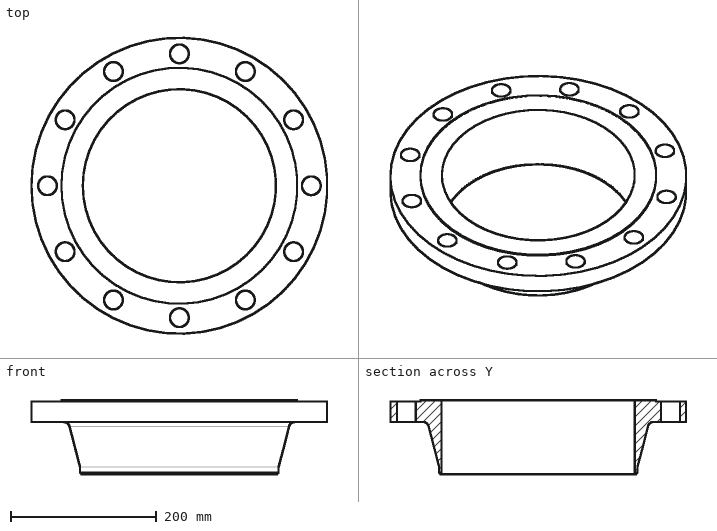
import cadquery as cq
import math

flange_diameter = 406.4
total_height = 101.6
flange_thickness = 30.2
raised_face_diameter = 323.85
raised_face_height = 1.6

bore_diameter = 264.7
bolt_circle_diameter = 362.0
bolt_hole_diameter = 25.4
bolt_hole_count = 12

neck_end_diameter = 273.05
neck_straight_height = 10.0
neck_base_diameter = 304.8
neck_fillet_radius = 7.6
weld_bevel_width = 2.5
weld_bevel_height = 2.5

flange_radius = flange_diameter / 2
raised_face_radius = raised_face_diameter / 2
bore_radius = bore_diameter / 2
neck_end_radius = neck_end_diameter / 2
neck_base_radius = neck_base_diameter / 2
flange_back_z = total_height - flange_thickness
raised_face_base_z = total_height - raised_face_height

taper_height = flange_back_z - neck_straight_height
taper_angle = math.atan((neck_base_radius - neck_end_radius) / taper_height)
fillet_turn = math.pi / 2 - taper_angle
fillet_tangent_length = neck_fillet_radius * math.tan(fillet_turn / 2)
fillet_start_radius = neck_base_radius - fillet_tangent_length * math.sin(taper_angle)
fillet_start_z = flange_back_z - fillet_tangent_length * math.cos(taper_angle)
fillet_end_radius = neck_base_radius + fillet_tangent_length


def flange_body():
    """Disc, raised face, tapered neck and bore as one revolved section on the -X side."""
    return (
        cq.Workplane("XZ")
        .moveTo(-bore_radius, 0)
        .lineTo(-(neck_end_radius - weld_bevel_width), 0)
        .lineTo(-neck_end_radius, weld_bevel_height)
        .lineTo(-neck_end_radius, neck_straight_height)
        .lineTo(-fillet_start_radius, fillet_start_z)
        .tangentArcPoint((-fillet_end_radius, flange_back_z), relative=False)
        .lineTo(-flange_radius, flange_back_z)
        .lineTo(-flange_radius, raised_face_base_z)
        .lineTo(-raised_face_radius, raised_face_base_z)
        .lineTo(-raised_face_radius, total_height)
        .lineTo(-bore_radius, total_height)
        .close()
        .revolve(360, (0, 0, 0), (0, 1, 0))
    )


def bolt_holes():
    """Ring of through-hole cylinders spanning the full height."""
    return (
        cq.Workplane("XY")
        .polarArray(bolt_circle_diameter / 2, 0, 360, bolt_hole_count)
        .circle(bolt_hole_diameter / 2)
        .extrude(total_height)
    )


result = flange_body().cut(bolt_holes())